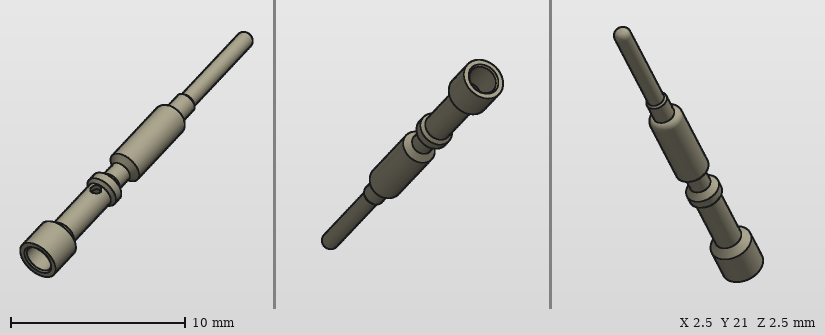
import cadquery as cq
import math

length = 21.0

socket_radius = 1.25
tube_radius = 0.8
collar_radius = 1.0
neck_radius = 0.63
pin_radius = 0.5

socket_end = 2.04
collar_start = 6.15
collar_end = 7.29
body_start = 8.3
body_end = 13.5
shoulder_end = 14.89

bevel = collar_radius - neck_radius
collar_rear_bevel = collar_radius - tube_radius
shoulder_chamfer = neck_radius - pin_radius
tip_round = 0.38

mouth_radius = 0.95
entry_radius = 0.85
bore_radius = 0.46
bore_depth = 6.1
drill_point_angle = 118.0
inspection_radius = 0.32
inspection_y = 5.78


def turned(profile):
    """Solid of revolution about the Y axis."""
    return profile.close().revolve(360, (0, 0, 0), (0, 1, 0))


def rounded_corner(profile, radius, end, size):
    """Add a quarter-round outer corner turning from the side onto an end face."""
    diagonal = size * math.sqrt(0.5)
    middle = (radius - size + diagonal, end - size + diagonal)
    return profile.lineTo(radius, end - size).threePointArc(middle, (radius - size, end))


def make_body():
    profile = (
        cq.Workplane("XY")
        .lineTo(socket_radius, 0)
        .lineTo(socket_radius, socket_end)
        .lineTo(tube_radius, socket_end + socket_radius - tube_radius)
        .lineTo(tube_radius, collar_start)
        .lineTo(collar_radius, collar_start + collar_rear_bevel)
        .lineTo(collar_radius, collar_end - bevel)
        .lineTo(neck_radius, collar_end)
        .lineTo(neck_radius, body_start)
        .lineTo(collar_radius, body_start + bevel)
    )
    profile = rounded_corner(profile, collar_radius, body_end, bevel)
    profile = (
        profile.lineTo(neck_radius, shoulder_end - shoulder_chamfer)
        .lineTo(neck_radius - shoulder_chamfer, shoulder_end)
    )
    profile = rounded_corner(profile, pin_radius, length, tip_round)
    return turned(profile.lineTo(0, length))


def make_bore():
    """Chamfered entry, 45 degree funnel, then a drilled bore with a pointed end."""
    point_length = bore_radius / math.tan(math.radians(drill_point_angle / 2))
    return turned(
        cq.Workplane("XY")
        .lineTo(mouth_radius, 0)
        .lineTo(entry_radius, mouth_radius - entry_radius)
        .lineTo(entry_radius, socket_end)
        .lineTo(bore_radius, socket_end + entry_radius - bore_radius)
        .lineTo(bore_radius, bore_depth)
        .lineTo(0, bore_depth + point_length)
    )


def make_inspection_hole():
    """Radial hole from the axis out through the top wall of the tube."""
    return (
        cq.Workplane("XY")
        .center(0, inspection_y)
        .circle(inspection_radius)
        .extrude(socket_radius)
    )


result = make_body().cut(make_bore()).cut(make_inspection_hole())